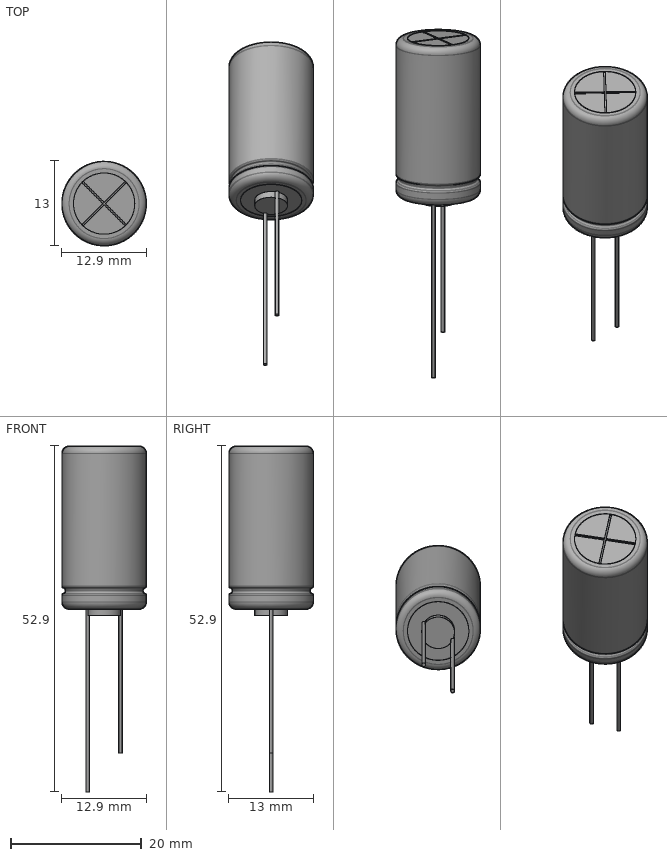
import cadquery as cq
import math

total_height = 52.9
sleeve_diameter = 12.95
body_height = 24.95

can_diameter = 12.8
sleeve_thickness = (sleeve_diameter - can_diameter) / 2
sleeve_opening_diameter = 9.35
end_flat_diameter = 10.7
rim_radius = (sleeve_diameter - end_flat_diameter) / 2

groove_diameter = 11.95
groove_z = 2.85
groove_floor_width = 0.15
groove_side_radius = 0.3
groove_depth = (sleeve_diameter - groove_diameter) / 2
groove_sweep = math.acos(1 - groove_depth / (2 * groove_side_radius))

score_width = 0.25
score_depth = 0.15
score_angles = (45, 135)

seal_diameter = 5.0
seal_height = 0.95
lead_diameter = 0.6
lead_pitch = 5.0
long_lead_length = total_height - body_height
short_lead_length = 21.95


def crimped_cylinder(inset):
    """Rounded, crimped cylinder lying the given distance inside the sleeve's outer surface."""
    wall_x = sleeve_diameter / 2 - inset
    floor_x = groove_diameter / 2 - inset
    flat_x = end_flat_diameter / 2
    bottom_z = inset
    top_z = body_height - inset

    rim = rim_radius - inset
    rim_mid_x = flat_x + rim * math.sin(math.pi / 4)
    rim_mid_rise = rim * (1 - math.cos(math.pi / 4))

    shoulder = groove_side_radius - inset
    root = groove_side_radius + inset
    half_sweep = groove_sweep / 2
    shoulder_mid_x = wall_x - shoulder * (1 - math.cos(half_sweep))
    middle_x = wall_x - shoulder * (1 - math.cos(groove_sweep))
    root_mid_x = floor_x + root * (1 - math.cos(half_sweep))

    floor_z = groove_floor_width / 2
    root_mid_z = floor_z + root * math.sin(half_sweep)
    middle_z = floor_z + root * math.sin(groove_sweep)
    wall_z = middle_z + shoulder * math.sin(groove_sweep)
    shoulder_mid_z = wall_z - shoulder * math.sin(half_sweep)

    outline = (
        cq.Workplane("XZ")
        .moveTo(0, bottom_z)
        .lineTo(flat_x, bottom_z)
        .threePointArc((rim_mid_x, bottom_z + rim_mid_rise), (wall_x, bottom_z + rim))
        .lineTo(wall_x, groove_z - wall_z)
        .threePointArc((shoulder_mid_x, groove_z - shoulder_mid_z), (middle_x, groove_z - middle_z))
        .threePointArc((root_mid_x, groove_z - root_mid_z), (floor_x, groove_z - floor_z))
        .lineTo(floor_x, groove_z + floor_z)
        .threePointArc((root_mid_x, groove_z + root_mid_z), (middle_x, groove_z + middle_z))
        .threePointArc((shoulder_mid_x, groove_z + shoulder_mid_z), (wall_x, groove_z + wall_z))
        .lineTo(wall_x, top_z - rim)
        .threePointArc((rim_mid_x, top_z - rim_mid_rise), (flat_x, top_z))
        .lineTo(0, top_z)
        .close()
    )
    return outline.revolve(360, (0, 0, 0), (0, 1, 0))


def build_sleeve():
    """Thin skin over the can, open in the middle of both ends."""
    opening = cq.Workplane("XY").circle(sleeve_opening_diameter / 2).extrude(body_height)
    return crimped_cylinder(0).cut(crimped_cylinder(sleeve_thickness)).cut(opening)


def vent_score():
    """Crossed bars to cut from the exposed can top."""
    top_z = body_height - sleeve_thickness
    center = (0, 0, top_z - score_depth / 2)
    bars = cq.Workplane("XY")
    for angle in score_angles:
        bar = cq.Workplane("XY").box(sleeve_opening_diameter, score_width, score_depth)
        bars = bars.add(bar.rotate((0, 0, 0), (0, 0, 1), angle).translate(center))
    return bars.combine()


def lead(x, length):
    """Wire ending the given length below the sleeve, rooted in the can underside."""
    return (
        cq.Workplane("XY", origin=(x, 0, -length))
        .circle(lead_diameter / 2)
        .extrude(length + sleeve_thickness)
    )


def build_capacitor():
    """Can with its seal and two leads."""
    seal = (
        cq.Workplane("XY", origin=(0, 0, -seal_height))
        .circle(seal_diameter / 2)
        .extrude(seal_height + sleeve_thickness)
    )
    return (
        crimped_cylinder(sleeve_thickness)
        .cut(vent_score())
        .union(seal)
        .union(lead(-lead_pitch / 2, long_lead_length))
        .union(lead(lead_pitch / 2, short_lead_length))
    )


sleeve = build_sleeve()
capacitor = build_capacitor()
result = cq.Compound.makeCompound([sleeve.solids().val(), capacitor.solids().val()])